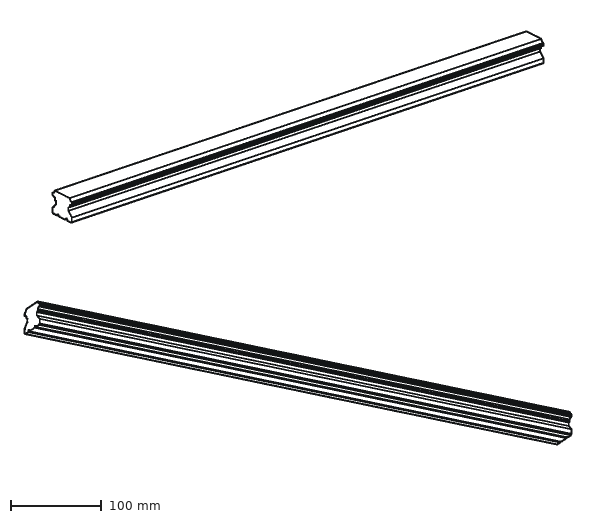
import cadquery as cq

length = 670.0
width = 34.0
height = 29.0

head_inset = 4.0
side_face_top = 24.0
side_face_height = 1.7
side_bevel_run = 1.0
side_bevel_rise = 1.0
lower_track_drop = 1.7
track_sag = 1.0

neck_face_height = 2.0
web_top = 17.0
web_bottom = 13.0
web_inset = 6.0

foot_chamfer = 1.5

groove_offset = 7.5
groove_width = 3.0
groove_depth = 2.0

half_width = width / 2
head_half_width = half_width - head_inset
web_half_width = half_width - web_inset
track_edge = half_width - side_bevel_run

upper_track_bottom = side_face_top + side_bevel_rise
side_face_bottom = side_face_top - side_face_height
lower_track_top = side_face_bottom - side_bevel_rise
neck_top = lower_track_top - lower_track_drop
neck_bottom = neck_top - neck_face_height
foot_top = web_bottom - web_inset


def right_half():
    """Right half of the section, standing on the base line."""
    return (
        cq.Workplane("XZ")
        .lineTo(half_width - foot_chamfer, 0)
        .lineTo(half_width, foot_chamfer)
        .lineTo(half_width, foot_top)
        .lineTo(web_half_width, web_bottom)
        .lineTo(web_half_width, web_top)
        .lineTo(head_half_width, neck_bottom)
        .lineTo(head_half_width, neck_top)
        .sagittaArc((track_edge, lower_track_top), track_sag)
        .lineTo(half_width, side_face_bottom)
        .lineTo(half_width, side_face_top)
        .lineTo(track_edge, upper_track_bottom)
        .sagittaArc((head_half_width, height), track_sag)
        .lineTo(0, height)
        .close()
        .extrude(length / 2, both=True)
    )


def base_groove():
    """Round-topped cutter for the groove on the right of the base."""
    return (
        cq.Workplane("XZ")
        .moveTo(groove_offset - groove_width / 2, 0)
        .threePointArc((groove_offset, groove_depth), (groove_offset + groove_width / 2, 0))
        .close()
        .extrude(length / 2, both=True)
    )


half_rail = right_half().cut(base_groove())
result = half_rail.union(half_rail.mirror("YZ")).clean().translate((0, 0, -height / 2))